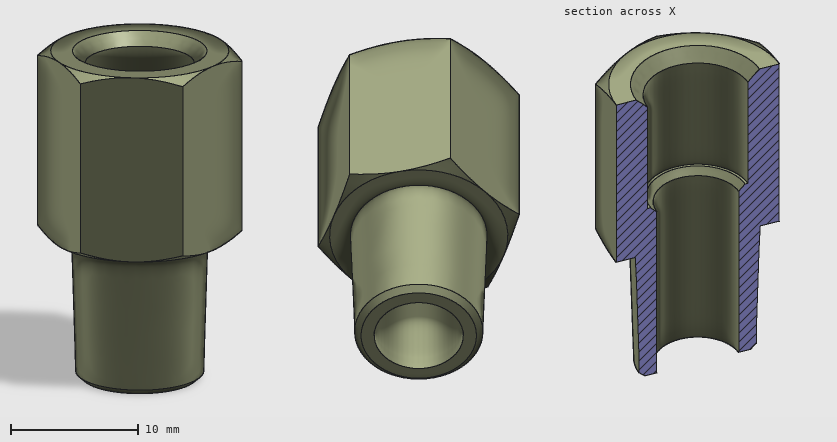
import cadquery as cq
import math

total_height = 26.8
across_flats = 14.0
hex_bottom = 11.63
hex_chamfer_angle = 30

shank_top_diameter = 10.75
shank_tip_diameter = 10.08
tip_chamfer_height = 0.45
tip_chamfer_width = 0.5

mouth_diameter = 10.55
socket_diameter = 8.58
seat_diameter = 8.1
through_diameter = 7.0
countersink_angle = 45
socket_depth = 10.72

across_corners = across_flats / math.cos(math.radians(30))


def revolve_profile(points):
    """Solid of revolution about Z from (radius, height) points."""
    return cq.Workplane("XZ").polyline(points).close().revolve(360, (0, 0), (0, 1))


def make_hex():
    """Hexagon with corners on X, both ends turned down to the flats."""
    prism = (
        cq.Workplane("XY")
        .workplane(offset=hex_bottom)
        .polygon(6, across_corners)
        .extrude(total_height - hex_bottom)
    )
    flat_radius = across_flats / 2
    corner_radius = across_corners / 2
    chamfer_height = (corner_radius - flat_radius) * math.tan(math.radians(hex_chamfer_angle))
    envelope = revolve_profile([
        (0, hex_bottom),
        (flat_radius, hex_bottom),
        (corner_radius, hex_bottom + chamfer_height),
        (corner_radius, total_height - chamfer_height),
        (flat_radius, total_height),
        (0, total_height),
    ])
    return prism.intersect(envelope)


def make_shank():
    """Tapered shank with a chamfered tip."""
    tip_radius = shank_tip_diameter / 2
    return revolve_profile([
        (0, 0),
        (tip_radius - tip_chamfer_width, 0),
        (tip_radius, tip_chamfer_height),
        (shank_top_diameter / 2, hex_bottom),
        (0, hex_bottom),
    ])


def make_bore():
    """Everything removed along the axis."""
    mouth_radius = mouth_diameter / 2
    socket_radius = socket_diameter / 2
    seat_radius = seat_diameter / 2
    through_radius = through_diameter / 2
    countersink_slope = 1 / math.tan(math.radians(countersink_angle))
    mouth_depth = (mouth_radius - socket_radius) * countersink_slope
    seat_depth = (seat_radius - through_radius) * countersink_slope
    socket_bottom = total_height - socket_depth
    return revolve_profile([
        (0, 0),
        (through_radius, 0),
        (through_radius, socket_bottom - seat_depth),
        (seat_radius, socket_bottom),
        (socket_radius, socket_bottom),
        (socket_radius, total_height - mouth_depth),
        (mouth_radius, total_height),
        (0, total_height),
    ])


result = make_hex().union(make_shank()).cut(make_bore())